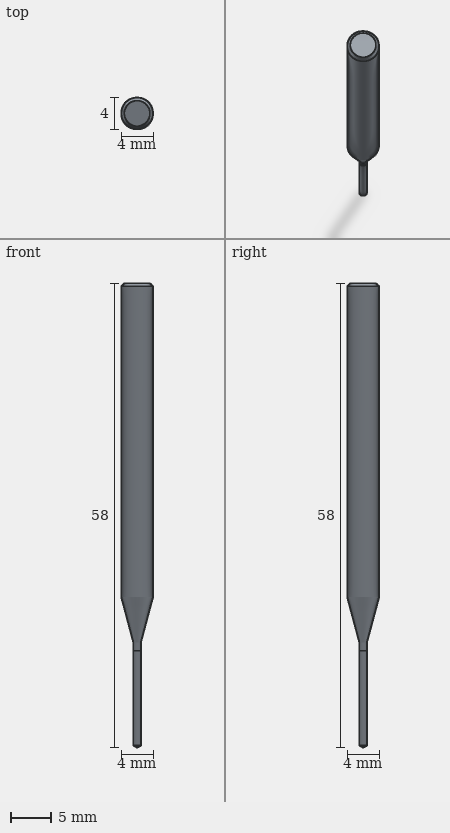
import cadquery as cq
import math

total_length = 58.0
cutter_length = 12.1
neck_length = 1.05
shank_chamfer_height = 0.4

shank_diameter = 4.0
shank_chamfer_width = 0.4
cutter_diameter = 1.0
neck_diameter = 1.0
taper_half_angle = 15.0
point_angle = 120.0

shank_radius = shank_diameter / 2
cutter_radius = cutter_diameter / 2
neck_radius = neck_diameter / 2
point_height = cutter_radius / math.tan(math.radians(point_angle / 2))
taper_bottom = cutter_length + neck_length
taper_height = (shank_radius - neck_radius) / math.tan(math.radians(taper_half_angle))
taper_top = taper_bottom + taper_height


def turned(profile):
    """Revolve (radius, height) points about Z, with the profile on the -Y side."""
    points = [(-radius, height) for radius, height in profile]
    return cq.Workplane("YZ").polyline(points).close().revolve(360, (0, 0, 0), (0, 1, 0))


def make_shank():
    """Chamfered cylindrical shank that tapers down to a short neck."""
    return turned([
        (0, cutter_length),
        (neck_radius, cutter_length),
        (neck_radius, taper_bottom),
        (shank_radius, taper_top),
        (shank_radius, total_length - shank_chamfer_height),
        (shank_radius - shank_chamfer_width, total_length),
        (0, total_length),
    ])


def make_cutter():
    """Slim round cutter with a conical point, butted against the neck."""
    return turned([
        (0, 0),
        (cutter_radius, point_height),
        (cutter_radius, cutter_length),
        (0, cutter_length),
    ])


shank = make_shank()
cutter = make_cutter()

result = cq.Compound.makeCompound([shank.val(), cutter.val()])